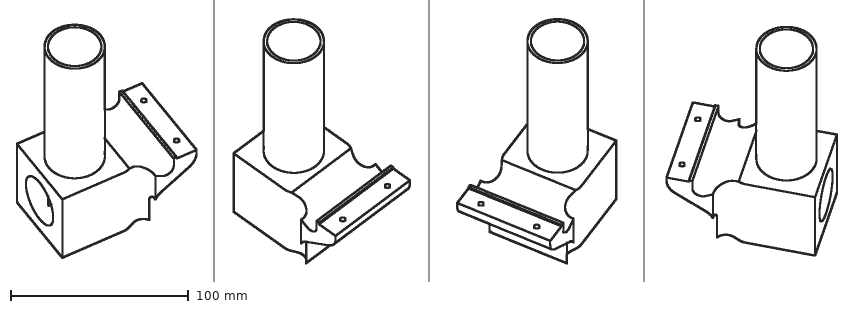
import cadquery as cq
import math


block_width = 50.0
block_height = 48.0
front_y = -23.0

tube_diameter = 34.0
tube_bore_diameter = 30.0
tube_length = 90.0
bore_floor_z = 10.0
drain_diameter = 16.0
side_bore_diameter = 30.0
side_bore_z = block_height / 2

arm_width = 60.0
total_depth = 85.0
back_y = front_y + total_depth
neck_depth = 57.0
neck_back_y = front_y + neck_depth
underside_angle = math.radians(30.0)
underside_root_z = 22.2
nose_radius = 10.0
armpit_radius = 10.0

groove_radius = 5.0
groove_y = 42.0
groove_z = 42.0
ramp_angle = math.radians(30.0)
lip_height = 1.0
lip_width = 2.0
pad_z = block_height - lip_height

pad_hole_diameter = 3.0
pad_hole_spacing = 36.0
pad_hole_inset = 6.0
pad_hole_y = back_y - pad_hole_inset
pad_hole_depth = 8.0

waist_radius = 7.0
waist_center_x = 28.6
waist_center_y = 28.0
shoulder_radius = 10.0
shoulder_center_x = block_width / 2 - shoulder_radius
shoulder_center_y = 17.0


def polar(center, radius, angle):
    """Point on a circle at the given angle."""
    return (center[0] + radius * math.cos(angle), center[1] + radius * math.sin(angle))


def side_profile():
    """Block and arm outline in the YZ plane, extruded over the full arm width."""
    groove = (groove_y, groove_z)
    wall_y = groove_y + groove_radius
    ramp_start = polar(groove, groove_radius, -math.pi / 2 - ramp_angle)
    groove_middle = polar(groove, groove_radius, -math.pi / 4 - ramp_angle / 2)
    ramp_top_y = ramp_start[0] - (block_height - ramp_start[1]) / math.tan(ramp_angle)

    blend = math.pi / 2 - underside_angle
    setback = math.tan(blend / 2)
    slope = math.tan(underside_angle)
    nose_z = underside_root_z + (back_y - neck_back_y) * slope

    nose = (back_y - nose_radius, nose_z + nose_radius * setback)
    nose_middle = polar(nose, nose_radius, -blend / 2)
    nose_end = polar(nose, nose_radius, -blend)

    armpit = (neck_back_y + armpit_radius, underside_root_z - armpit_radius * setback)
    armpit_start = polar(armpit, armpit_radius, math.pi - blend)
    armpit_middle = polar(armpit, armpit_radius, math.pi - blend / 2)

    return (
        cq.Workplane("YZ")
        .moveTo(front_y, 0)
        .lineTo(front_y, block_height)
        .lineTo(ramp_top_y, block_height)
        .lineTo(*ramp_start)
        .threePointArc(groove_middle, (wall_y, groove_z))
        .lineTo(wall_y, block_height)
        .lineTo(wall_y + lip_width, block_height)
        .lineTo(wall_y + lip_width, pad_z)
        .lineTo(back_y, pad_z)
        .lineTo(back_y, nose[1])
        .threePointArc(nose_middle, nose_end)
        .lineTo(*armpit_start)
        .threePointArc(armpit_middle, (neck_back_y, armpit[1]))
        .lineTo(neck_back_y, 0)
        .close()
        .extrude(arm_width / 2, both=True)
    )


def waist_cutter():
    """Material to remove on the +X side so that the arm narrows down to the block."""
    waist = (waist_center_x, waist_center_y)
    shoulder = (shoulder_center_x, shoulder_center_y)
    across = waist[0] - shoulder[0]
    along = waist[1] - shoulder[1]

    center_distance = math.hypot(across, along)
    center_angle = math.atan2(along, across)
    normal = center_angle - math.acos((waist_radius + shoulder_radius) / center_distance)
    outside_x = arm_width
    arm_front_y = waist_center_y + waist_radius
    waist_middle_angle = (math.pi * 1.5 + normal) / 2

    return (
        cq.Workplane("XY")
        .moveTo(outside_x, front_y)
        .lineTo(block_width / 2, front_y)
        .lineTo(block_width / 2, shoulder_center_y)
        .threePointArc(
            polar(shoulder, shoulder_radius, normal / 2),
            polar(shoulder, shoulder_radius, normal),
        )
        .lineTo(*polar(waist, waist_radius, normal + math.pi))
        .threePointArc(
            polar(waist, waist_radius, waist_middle_angle),
            (waist_center_x, arm_front_y),
        )
        .lineTo(outside_x, arm_front_y)
        .close()
        .extrude(block_height)
    )


def vertical_cylinder(diameter, bottom_z, top_z):
    """Cylinder on the tube axis."""
    return (
        cq.Workplane("XY")
        .workplane(offset=bottom_z)
        .circle(diameter / 2)
        .extrude(top_z - bottom_z)
    )


def side_bore():
    """Horizontal bore from the front face to the tube axis."""
    return (
        cq.Workplane("XZ", origin=(0, 0, side_bore_z))
        .circle(side_bore_diameter / 2)
        .extrude(-front_y)
    )


def pad_holes():
    """Pair of blind holes in the mounting pad."""
    return (
        cq.Workplane("XY", origin=(0, pad_hole_y, pad_z))
        .rarray(pad_hole_spacing, 1, 2, 1)
        .circle(pad_hole_diameter / 2)
        .extrude(-pad_hole_depth)
    )


tube_top_z = block_height + tube_length
waist_cut = waist_cutter()

body = side_profile().cut(waist_cut).cut(waist_cut.mirror("YZ"))
body = body.union(vertical_cylinder(tube_diameter, block_height, tube_top_z))
body = body.cut(vertical_cylinder(drain_diameter, 0, bore_floor_z))

body = body.cut(vertical_cylinder(tube_bore_diameter, bore_floor_z, tube_top_z).union(side_bore()))
result = body.cut(pad_holes())